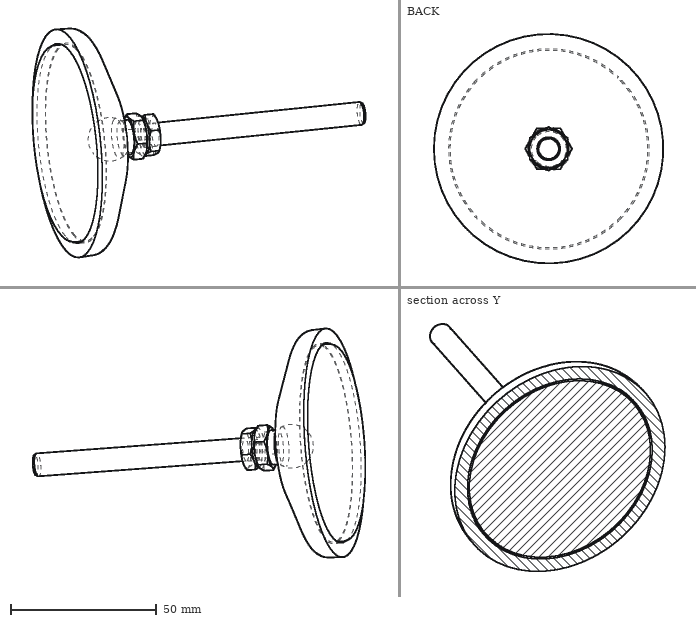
import cadquery as cq
import math


pad_radius = 34.0
pad_edge_fillet = 1.0

rim_y = 2.0
rim_radius = 39.5
recess_radius = 34.5
recess_depth = 3.0
shoulder_y = 9.1
shoulder_radius = 39.2
shoulder_fillet = 3.9
selection_margin = 1.0
bend_y = 17.55
bend_radius = 20.0
crown_y = 20.1
crown_radius = 7.5

ball_radius = 7.5
ball_center_y = 17.3
neck_radius = 6.0
hex_y = 24.2
hex_height = 4.5
hex_across_flats = 14.0
rod_radius = 4.0
relief_radius = 3.3
rod_end_y = 108.7
rod_end_chamfer_length = 0.8
rod_end_chamfer_depth = 0.5

nut_y = 29.6
nut_height = 4.1
nut_across_flats = 13.0

bevel_angle = math.radians(30)

pad_top_y = rim_y + recess_depth
hex_top_y = hex_y + hex_height


def revolve_about_y(outline):
    """Turn a closed (radius, y) outline once around the Y axis."""
    return outline.close().revolve(360, (0, 0, 0), (0, 1, 0))


def hexagon(start_y, height, across_flats, first_corner):
    """Hexagonal prism along +Y with beveled corners; first_corner is the angle of a corner from X."""
    corner_radius = across_flats / math.sqrt(3)
    face_radius = across_flats / 2
    bevel_reach = corner_radius - face_radius
    bevel_height = bevel_reach * math.tan(bevel_angle)
    end_y = start_y + height
    prism = (
        cq.Workplane("XZ", origin=(0, start_y, 0))
        .polygon(6, 2 * corner_radius)
        .extrude(-height)
        .rotate((0, 0, 0), (0, 1, 0), first_corner)
    )
    envelope = revolve_about_y(
        cq.Workplane("XY")
        .moveTo(0, start_y)
        .lineTo(face_radius, start_y)
        .lineTo(corner_radius, start_y + bevel_height)
        .lineTo(corner_radius, end_y - bevel_height)
        .lineTo(face_radius, end_y)
        .lineTo(0, end_y)
    )
    return prism.intersect(envelope)


def make_ball():
    return cq.Workplane("XY", origin=(0, ball_center_y, 0)).sphere(ball_radius)


def make_pad():
    disc = cq.Workplane("XZ").circle(pad_radius).extrude(-pad_top_y)
    return disc.faces("<Y").edges().fillet(pad_edge_fillet)


def make_base():
    bell = revolve_about_y(
        cq.Workplane("XY")
        .moveTo(0, rim_y)
        .lineTo(rim_radius, rim_y)
        .lineTo(shoulder_radius, shoulder_y)
        .lineTo(bend_radius, bend_y)
        .lineTo(crown_radius, crown_y)
        .lineTo(0, crown_y)
    )
    half_width = rim_radius + selection_margin
    shoulder_zone = cq.selectors.BoxSelector(
        (-half_width, shoulder_y - selection_margin, -half_width),
        (half_width, shoulder_y + selection_margin, half_width),
        boundingbox=True,
    )
    bell = bell.edges(shoulder_zone).fillet(shoulder_fillet)
    recess = cq.Workplane("XZ", origin=(0, rim_y, 0)).circle(recess_radius).extrude(-recess_depth)
    return bell.cut(recess).cut(make_ball())


def make_stud():
    shaft = revolve_about_y(
        cq.Workplane("XY")
        .moveTo(0, ball_center_y)
        .lineTo(neck_radius, ball_center_y)
        .lineTo(neck_radius, hex_top_y)
        .lineTo(rod_radius, hex_top_y)
        .lineTo(relief_radius, hex_top_y + rod_radius - relief_radius)
        .lineTo(relief_radius, nut_y)
        .lineTo(rod_radius, nut_y)
        .lineTo(rod_radius, rod_end_y - rod_end_chamfer_length)
        .lineTo(rod_radius - rod_end_chamfer_depth, rod_end_y)
        .lineTo(0, rod_end_y)
    )
    head = hexagon(hex_y, hex_height, hex_across_flats, 0)
    return make_ball().union(shaft).union(head)


def make_lock_nut():
    bore = cq.Workplane("XZ", origin=(0, nut_y, 0)).circle(rod_radius).extrude(-nut_height)
    return hexagon(nut_y, nut_height, nut_across_flats, 90).cut(bore)


pad = make_pad()
base = make_base()
stud = make_stud()
lock_nut = make_lock_nut()

result = cq.Compound.makeCompound([pad.val(), base.val(), stud.val(), lock_nut.val()])